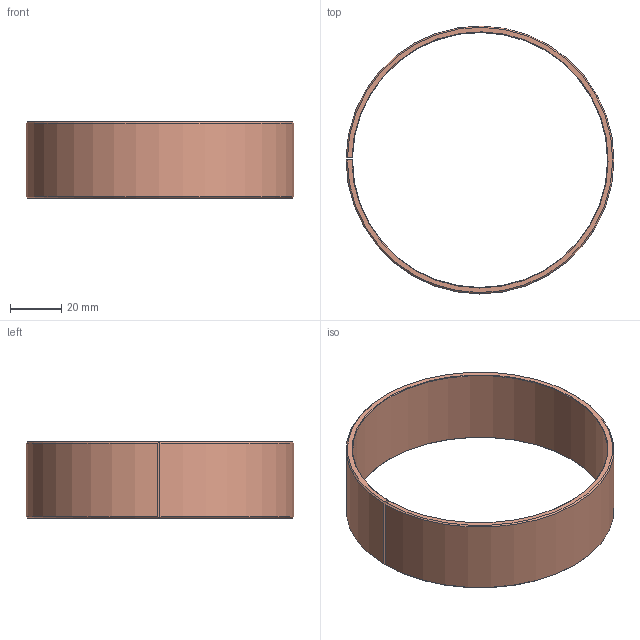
import cadquery as cq

outer_diameter = 105.0
wall_thickness = 2.5
ring_height = 30.0

outer_chamfer = 0.5
inner_chamfer = 0.2

gap_angle = 1.0

outer_radius = outer_diameter / 2
inner_radius = outer_radius - wall_thickness
half_height = ring_height / 2
axis_start = (0, 0, 0)
axis_end = (0, 0, 1)


def make_wall_section():
    """Wall cross-section on the +X side, with its four bevelled corners."""
    section = [
        (inner_radius + inner_chamfer, -half_height),
        (outer_radius - outer_chamfer, -half_height),
        (outer_radius, -half_height + outer_chamfer),
        (outer_radius, half_height - outer_chamfer),
        (outer_radius - outer_chamfer, half_height),
        (inner_radius + inner_chamfer, half_height),
        (inner_radius, half_height - inner_chamfer),
        (inner_radius, -half_height + inner_chamfer),
    ]
    return cq.Workplane("XZ").polyline(section).close()


def make_split_ring():
    """Revolve the wall short of a full turn, then turn the gap round to -X."""
    ring = make_wall_section().revolve(360 - gap_angle, (0, 0), (0, 1))
    return ring.rotate(axis_start, axis_end, 180)


result = make_split_ring()